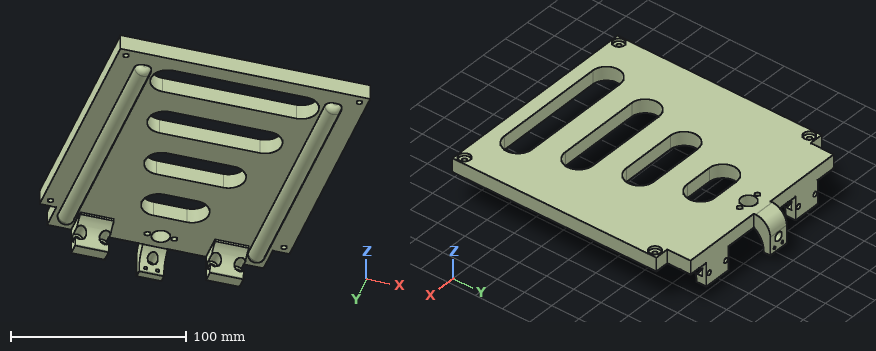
import cadquery as cq
import math

total_depth = 179.0
total_height = 27.0
plate_size = 150.0
plate_thickness = 10.0
plate_back = plate_size
plate_bottom = -plate_thickness

tongue_width = 130.0
tongue_depth = 17.0
tongue_back = plate_back + tongue_depth
tongue_hole_setback = 10.0
tongue_hole_y = tongue_back - tongue_hole_setback
tongue_hole_diameter = 10.7
tongue_side_hole_diameter = 3.4
tongue_side_hole_offset = 8.0

window_count = 4
window_width = 20.0
window_length_step = window_width
window_margin = 20.0
window_pitch = (plate_size - 2 * window_margin) / (window_count - 1)

corner_inset = 5.0
corner_hole_diameter = 3.2
corner_bore_diameter = 8.0
corner_bore_depth = 2.0

rail_x = 57.1
rail_radius = 5.0
rail_front = 10.0
rail_length = plate_size
rail_end_fillet = 4.0

bracket_x = 40.5
bracket_width = 20.2
bracket_wall = 7.3
bracket_arc_radius = 16.0
bracket_arc_center_z = -26.1
bracket_screw_spacing = 15.0
bracket_screw_z = -18.6
bracket_hole_diameter = 3.2
bracket_bore_diameter = 7.0
bracket_bore_floor = 3.2

hook_width = 15.0
hook_height = 24.3
hook_outer_radius = 11.0
hook_wall = 4.8
hook_inner_radius = 16.0
hook_back = total_depth
hook_hole_diameter = 6.0
hook_hole_z = -15.0
hook_pin_hole_diameter = 1.8
hook_pin_hole_z = -21.1
hook_pin_hole_offset = 3.5


def drill_down(points, diameter, depth):
    """Vertical cylinders starting at the top face."""
    return cq.Workplane("XY").pushPoints(points).circle(diameter / 2).extrude(-depth)


def drill_back(points, diameter, y_start, length):
    """Cylinders along +Y starting at y_start, at (X, Z) points."""
    plane = cq.Workplane("XZ", origin=(0, y_start, 0))
    return plane.pushPoints(points).circle(diameter / 2).extrude(-length)


def extrude_profile(profile, x_center, width):
    """Slide a closed YZ profile along X, centred on x_center."""
    return profile.extrude(width / 2, both=True).translate((x_center, 0, 0))


def arc_middle(center, radius, start, end):
    """Point on the arc half way between start and end."""
    start_angle = math.atan2(start[1] - center[1], start[0] - center[0])
    end_angle = math.atan2(end[1] - center[1], end[0] - center[0])
    angle = (start_angle + end_angle) / 2
    return (center[0] + radius * math.cos(angle), center[1] + radius * math.sin(angle))


def make_plate():
    plate = cq.Workplane("XY").rect(plate_size, plate_size).extrude(-plate_thickness)
    plate = plate.translate((0, plate_size / 2, 0))
    tongue = cq.Workplane("XY").rect(tongue_width, tongue_depth).extrude(-plate_thickness)
    return plate.union(tongue.translate((0, plate_back + tongue_depth / 2, 0)))


def make_windows():
    windows = cq.Workplane("XY")
    for index in range(window_count):
        y = plate_back - window_margin - index * window_pitch
        length = 2 * window_width + index * window_length_step
        window = cq.Workplane("XY").center(0, y).slot2D(length, window_width).extrude(-plate_thickness)
        windows = windows.add(window)
    return windows.combine()


def make_corner_screws():
    x = plate_size / 2 - corner_inset
    points = [(sx * x, y) for sx in (-1, 1) for y in (corner_inset, plate_back - corner_inset)]
    holes = drill_down(points, corner_hole_diameter, plate_thickness)
    return holes.union(drill_down(points, corner_bore_diameter, corner_bore_depth))


def make_tongue_holes():
    center_hole = drill_down([(0, tongue_hole_y)], tongue_hole_diameter, plate_thickness)
    side_points = [(side * tongue_side_hole_offset, tongue_hole_y) for side in (-1, 1)]
    return center_hole.union(drill_down(side_points, tongue_side_hole_diameter, plate_thickness))


def make_rail(x):
    rail = cq.Workplane("XZ", origin=(x, rail_front, plate_bottom)).circle(rail_radius).extrude(-rail_length)
    rail = rail.edges("%CIRCLE").fillet(rail_end_fillet)
    above = cq.Workplane("XY", origin=(x, rail_front + rail_length / 2, plate_bottom))
    return rail.cut(above.rect(2 * rail_radius, rail_length).extrude(rail_radius))


def make_bracket(x):
    wall_front = tongue_back - bracket_wall
    center = (wall_front - bracket_arc_radius, bracket_arc_center_z)
    arc_start = (wall_front, bracket_arc_center_z)
    arc_rise = math.sqrt(bracket_arc_radius**2 - (plate_back - center[0]) ** 2)
    arc_end = (plate_back, bracket_arc_center_z + arc_rise)
    profile = (
        cq.Workplane("YZ")
        .moveTo(tongue_back, plate_bottom)
        .lineTo(tongue_back, -total_height)
        .lineTo(wall_front, -total_height)
        .lineTo(*arc_start)
        .threePointArc(arc_middle(center, bracket_arc_radius, arc_start, arc_end), arc_end)
        .lineTo(plate_back, plate_bottom)
        .close()
    )
    bracket = extrude_profile(profile, x, bracket_width)
    screws = [(x + side * bracket_screw_spacing / 2, bracket_screw_z) for side in (-1, 1)]
    bore_end = tongue_back - bracket_bore_floor
    bracket = bracket.cut(drill_back(screws, bracket_hole_diameter, plate_back, tongue_depth))
    return bracket.cut(drill_back(screws, bracket_bore_diameter, plate_back, bore_end - plate_back))


def make_hook():
    outer_center = (hook_back - hook_outer_radius, -hook_outer_radius)
    outer_start = (outer_center[0], 0)
    outer_end = (hook_back, outer_center[1])
    tip_front = hook_back - hook_wall
    inner_center_y = tip_front - hook_inner_radius
    inner_rise = math.sqrt(hook_inner_radius**2 - (tongue_back - inner_center_y) ** 2)
    inner_center = (inner_center_y, plate_bottom - inner_rise)
    inner_start = (tip_front, inner_center[1])
    inner_end = (tongue_back, plate_bottom)
    profile = (
        cq.Workplane("YZ")
        .moveTo(tongue_back, 0)
        .lineTo(*outer_start)
        .threePointArc(arc_middle(outer_center, hook_outer_radius, outer_start, outer_end), outer_end)
        .lineTo(hook_back, -hook_height)
        .lineTo(tip_front, -hook_height)
        .lineTo(*inner_start)
        .threePointArc(arc_middle(inner_center, hook_inner_radius, inner_start, inner_end), inner_end)
        .close()
    )
    hook = extrude_profile(profile, 0, hook_width)
    reach = hook_back - tongue_back
    pin_points = [(side * hook_pin_hole_offset, hook_pin_hole_z) for side in (-1, 1)]
    hook = hook.cut(drill_back([(0, hook_hole_z)], hook_hole_diameter, tongue_back, reach))
    return hook.cut(drill_back(pin_points, hook_pin_hole_diameter, tongue_back, reach))


result = make_plate().cut(make_windows()).cut(make_corner_screws()).cut(make_tongue_holes())
for side in (-1, 1):
    result = result.union(make_rail(side * rail_x)).union(make_bracket(side * bracket_x))
result = result.union(make_hook())